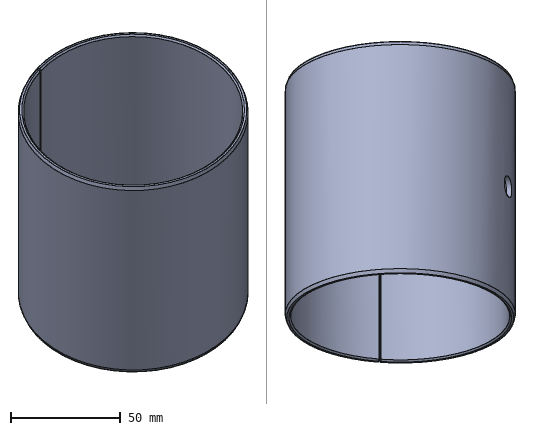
import cadquery as cq
import math

outer_diameter = 105.0
bore_diameter = 100.0
length = 115.0

outer_chamfer_height = 1.8
outer_chamfer_angle = 20.0
outer_chamfer_depth = outer_chamfer_height * math.tan(math.radians(outer_chamfer_angle))

bore_chamfer = 0.8

joint_angle = 1.0
joint_start = 180.0 - joint_angle

oil_hole_diameter = 10.0
oil_hole_height = length / 2
oil_hole_from_joint = 120.0
oil_hole_angle = joint_start - oil_hole_from_joint

outer_radius = outer_diameter / 2
bore_radius = bore_diameter / 2


def split_bushing():
    """Revolve the chamfered wall section around Z from -X, stopping short to leave the joint open."""
    end_outer_radius = outer_radius - outer_chamfer_depth
    end_bore_radius = bore_radius + bore_chamfer
    section = (
        cq.Workplane("XZ")
        .moveTo(-end_bore_radius, 0)
        .lineTo(-end_outer_radius, 0)
        .lineTo(-outer_radius, outer_chamfer_height)
        .lineTo(-outer_radius, length - outer_chamfer_height)
        .lineTo(-end_outer_radius, length)
        .lineTo(-end_bore_radius, length)
        .lineTo(-bore_radius, length - bore_chamfer)
        .lineTo(-bore_radius, bore_chamfer)
        .close()
    )
    return section.revolve(360 - joint_angle, (0, 0, 0), (0, 1, 0))


def oil_hole():
    """Cylinder running from the axis of the bushing out through the wall."""
    return (
        cq.Workplane("YZ")
        .center(0, oil_hole_height)
        .circle(oil_hole_diameter / 2)
        .extrude(outer_diameter)
        .rotate((0, 0, 0), (0, 0, 1), oil_hole_angle)
    )


result = split_bushing().cut(oil_hole())